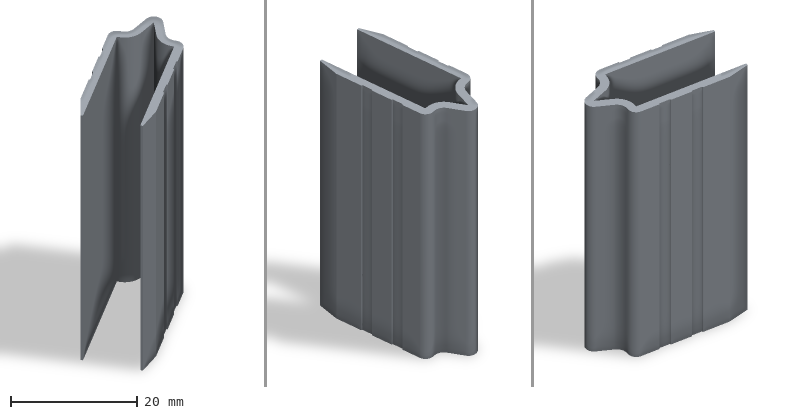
import cadquery as cq
import math

length = 50.0
overall_width = 12.4
overall_depth = 27.0
wall = 1.5

shoulder_drop = 5.0
flank_angle = math.radians(22.5)
valley_radius = 1.85

tip_taper_angle = math.radians(15.0)
tip_taper_length = 4.0

groove_width = 2.0
groove_wall_radius = 0.1
groove_centers = (11.0, 17.0)

outer_x = overall_width / 2
inner_x = outer_x - wall
tip_x = outer_x - tip_taper_length * math.tan(tip_taper_angle)
crest_y = overall_depth
apex_y = crest_y - wall
shoulder_y = crest_y - shoulder_drop
ceiling_y = shoulder_y - wall
flank_sin = math.sin(flank_angle)
flank_cos = math.cos(flank_angle)

inner_valley_radius = valley_radius + wall
valley_y = shoulder_y + valley_radius
valley_x = (inner_valley_radius - (valley_y - apex_y) * flank_sin) / flank_cos


def polar(center, radius, angle):
    """Point at a radius and angle (radians from +X) around a center."""
    return (center[0] + radius * math.cos(angle), center[1] + radius * math.sin(angle))


def half_profile():
    """Right half (X >= 0) of the cross-section, closed on the symmetry plane."""
    apex = (0, apex_y)
    corner = (inner_x, ceiling_y)
    valley = (valley_x, valley_y)
    down = math.radians(270)
    valley_start = math.pi + flank_angle
    valley_middle = (valley_start + down) / 2
    crest_middle = (flank_angle + math.radians(90)) / 2

    return (
        cq.Workplane("XY")
        .moveTo(0, crest_y)
        .threePointArc(polar(apex, wall, crest_middle), polar(apex, wall, flank_angle))
        .lineTo(*polar(valley, valley_radius, valley_start))
        .threePointArc(polar(valley, valley_radius, valley_middle), polar(valley, valley_radius, down))
        .lineTo(inner_x, shoulder_y)
        .threePointArc(polar(corner, wall, math.radians(45)), (outer_x, ceiling_y))
        .lineTo(outer_x, tip_taper_length)
        .lineTo(tip_x, 0)
        .lineTo(inner_x, 0)
        .lineTo(*corner)
        .lineTo(*polar(valley, inner_valley_radius, down))
        .threePointArc(
            polar(valley, inner_valley_radius, valley_middle),
            polar(valley, inner_valley_radius, valley_start),
        )
        .lineTo(*apex)
        .close()
    )


def groove(distance_from_crest):
    """Full-length cutter for one groove on the right leg."""
    center_y = crest_y - distance_from_crest
    radius = groove_wall_radius
    upper_y = center_y + groove_width / 2
    lower_y = center_y - groove_width / 2
    middle_x = outer_x - radius
    bulge = radius * math.sqrt(0.5)
    sag = radius - bulge
    return (
        cq.Workplane("XY")
        .moveTo(outer_x, upper_y + radius)
        .threePointArc((middle_x + bulge, upper_y + sag), (middle_x, upper_y))
        .threePointArc((middle_x - bulge, upper_y - sag), (middle_x - radius, upper_y - radius))
        .lineTo(middle_x - radius, lower_y + radius)
        .threePointArc((middle_x - bulge, lower_y + sag), (middle_x, lower_y))
        .threePointArc((middle_x + bulge, lower_y - sag), (outer_x, lower_y - radius))
        .close()
        .extrude(length)
    )


half = half_profile().extrude(length)
for groove_center in groove_centers:
    half = half.cut(groove(groove_center))

result = half.union(half.mirror("YZ")).clean()